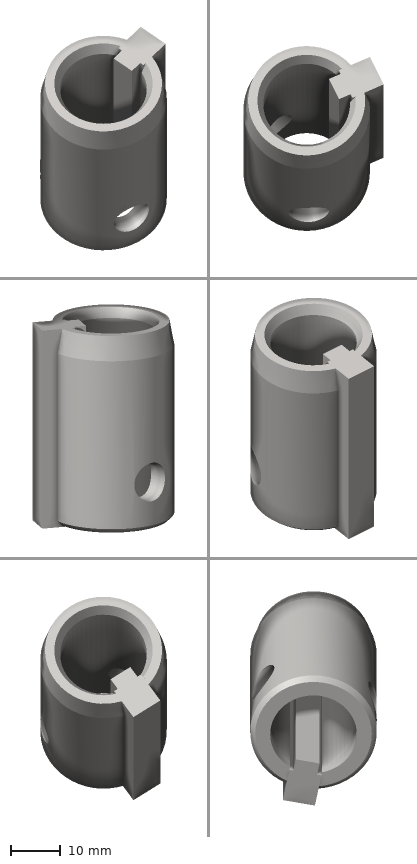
import cadquery as cq
import math

total_length = 41.3
key_overhang = 0.3
outer_radius = 25.4 / 2
bore_radius = 17.38 / 2

sleeve_length = total_length - key_overhang
bottom_chamfer = 1.0
nose_length = 5.0
nose_radius = 23.5 / 2
mouth_depth = 2.0
mouth_radius = 19.75 / 2

hole_diameter = 8.0
hole_height = 10.0
hole_angle = 22.5

key_outer_y = 28.2 - outer_radius
key_width = 6.52
key_head_depth = 6.9
key_stem_width = 4.8
key_depth = 9.45


def make_wall():
    """Revolve the sleeve's wall section about Z."""
    return (
        cq.Workplane("XZ")
        .moveTo(bore_radius, 0)
        .lineTo(outer_radius - bottom_chamfer, 0)
        .lineTo(outer_radius, bottom_chamfer)
        .lineTo(outer_radius, sleeve_length - nose_length)
        .lineTo(nose_radius, sleeve_length)
        .lineTo(mouth_radius, sleeve_length)
        .lineTo(bore_radius, sleeve_length - mouth_depth)
        .close()
        .revolve(360, (0, 0, 0), (0, 1, 0))
    )


def make_key_slot():
    """Cutter for the full-length slot that holds the key on the +Y side."""
    return cq.Workplane("XY").rect(key_width, key_outer_y).extrude(sleeve_length).translate(
        (0, key_outer_y / 2, 0)
    )


def make_radial_hole(angle):
    """Cutter from the axis outward through one wall, at an angle from +X."""
    direction = cq.Vector(math.cos(math.radians(angle)), math.sin(math.radians(angle)), 0)
    start = cq.Vector(0, 0, hole_height)
    return cq.Solid.makeCylinder(hole_diameter / 2, 2 * outer_radius, start, direction)


def make_sleeve():
    """Tapered sleeve with a key slot and two radial holes."""
    sleeve = make_wall().cut(make_key_slot())
    for angle in (-hole_angle, 180 + hole_angle):
        sleeve = sleeve.cut(cq.Workplane(make_radial_hole(angle)))
    return sleeve


def make_key():
    """Key whose wide head fills the slot and whose stem reaches into the bore."""
    head_half = key_width / 2
    stem_half = key_stem_width / 2
    step_y = key_outer_y - key_head_depth
    inner_y = key_outer_y - key_depth
    return (
        cq.Workplane("XY", origin=(0, 0, -key_overhang))
        .moveTo(-head_half, key_outer_y)
        .lineTo(head_half, key_outer_y)
        .lineTo(head_half, step_y)
        .lineTo(stem_half, step_y)
        .lineTo(stem_half, inner_y)
        .lineTo(-stem_half, inner_y)
        .lineTo(-stem_half, step_y)
        .lineTo(-head_half, step_y)
        .close()
        .extrude(total_length)
    )


sleeve = make_sleeve()
key = make_key()
result = cq.Compound.makeCompound([sleeve.solids().val(), key.val()])